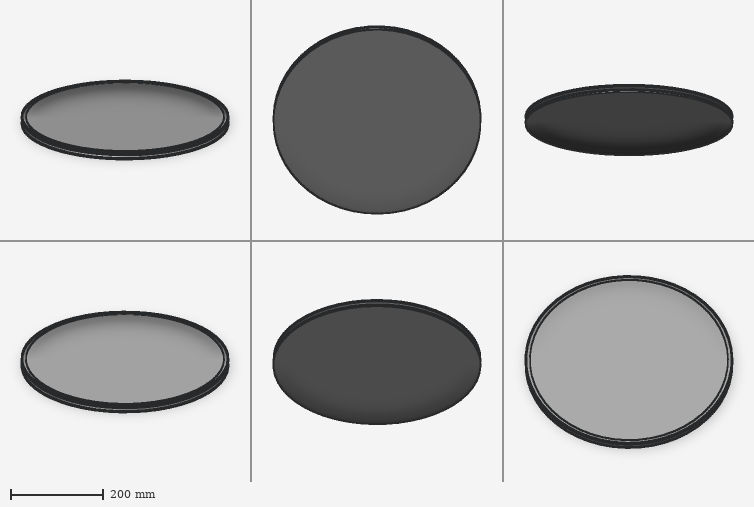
import cadquery as cq
import math

outer_radius = 225.0
height = 17.0

groove_bottom = 4.0
groove_top = 12.5
groove_depth = 3.5
groove_bulge = 0.35
groove_middle = (groove_bottom + groove_top) / 2

lip_width = 2.2
channel_depth = 2.2
lip_inner_radius = outer_radius - lip_width
channel_floor = height - channel_depth

face_radius = outer_radius - 10.0
face_drop = 0.5
face_level = height - face_drop


def groove_arc_point(edge_height):
    """Middle of the hollow arc between a groove edge and the groove's deepest line."""
    rise = edge_height - groove_middle
    chord = math.hypot(groove_depth, rise)
    side = math.copysign(1, rise)
    radius = outer_radius - groove_depth / 2 - groove_bulge * abs(rise) / chord
    level = groove_middle + rise / 2 + side * groove_bulge * groove_depth / chord
    return radius, level


def disc_profile():
    """Half section of the disc: radius along X, height along Z."""
    return (
        cq.Workplane("XZ")
        .moveTo(0, 0)
        .lineTo(outer_radius, 0)
        .lineTo(outer_radius, groove_bottom)
        .threePointArc(groove_arc_point(groove_bottom), (outer_radius - groove_depth, groove_middle))
        .threePointArc(groove_arc_point(groove_top), (outer_radius, groove_top))
        .lineTo(outer_radius, height)
        .lineTo(lip_inner_radius, height)
        .lineTo(lip_inner_radius, channel_floor)
        .lineTo(face_radius, channel_floor)
        .lineTo(face_radius, face_level)
        .lineTo(0, face_level)
        .close()
    )


result = disc_profile().revolve(360, (0, 0, 0), (0, 1, 0))